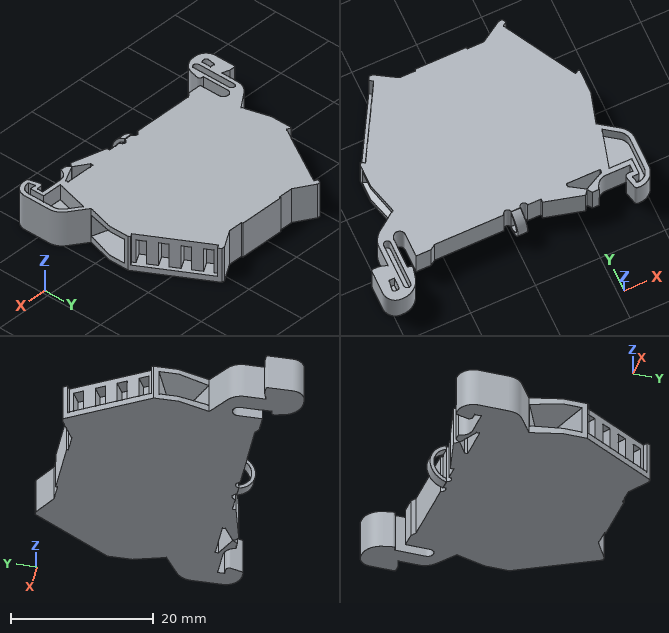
import cadquery as cq
import math


thickness = 6.0
top_z = thickness / 2
total_height = 32.5

body_half_width = 17.0
tip_half_span = 10.3
tip_flat = 0.55
label_angle = 60
label_base_y = total_height - (body_half_width - tip_half_span) * math.tan(math.radians(label_angle))
side_base_y = 17.3
waist_x = 15.7
waist_y = 12.7
top_y = 30.55
top_pad_half_width = 4.0
top_pad_height = 0.25
valley_half_width = 6.5

shoulder_x = 19.8
shoulder_y = 9.83
shoulder_radius = 2.77
foot_wall = 0.75
stem_inner_x = 17.4
foot_y = 5.05
rail_y = 5.55
hook_y = 4.05

heel_x = -22.2
heel_y = 5.8
heel_slope_x = -21.0
heel_stem_y = 5.38
heel_corner_radius = 0.25
heel_radius = 1.97
left_hook_x = -16.6
left_hook_foot_x = -17.55
left_hook_radius = 0.4
left_toe_radius = 2.85
gap_inner_x = -15.62
gap_top_y = 9.5
seat_end_x = -13.3
ramp_end_x = -12.5
gap_radius = (gap_inner_x + stem_inner_x) / 2

right_foot_y = 1.45
right_heel_radius = 2.4
right_hook_x = 16.0
right_hook_foot_x = 16.67
right_hook_radius = 0.5
right_toe_radius = 0.4

step_x = 3.9
left_lip_x = 9.83
lip_y = 3.5
pinch_x = 10.37
pinch_y = 4.2
pinch_web = 0.1
right_lip_x = 10.88
hollow_x = 13.7
hollow_radius = 1.75
opening_left_x = 8.1
opening_right_x = 13.3
opening_top_y = 6.17
opening_side_y = 5.7

loop_width = 1.5
loop_height = 6.25
loop_reach = 2.45
loop_wall = 0.6
relief_x = 1.25
relief_radius = 0.55

pocket_depth = 2.65
slot_left_x = -19.05
slot_right_x = -18.0
slot_top_y = 8.85
slot_bottom_y = 1.18
heel_pocket_top_y = 3.28
heel_pocket_bottom_y = 1.45
heel_pocket_top_x = -20.6
heel_pocket_bottom_x = -20.87
heel_pocket_radius = 0.38
hollow_tip_x = 16.1
hollow_tip_y = 11.6
hollow_corner_y = 9.55
hollow_seat_x = 14.55
hollow_seat_y = 5.8
hollow_stem_x = 18.0
hollow_hook_top_y = 3.3
hollow_hook_top_x = 16.95
hollow_hook_bottom_x = 17.2

recess_depth = 0.7
recess_height = 5.0
recess_margin = 0.67
recess_length = 12.45
marker_count = 4
marker_pitch = 3.25
marker_width = 1.45
marker_depth = 2.0
marker_height = 4.0
marker_start = 0.65

funnel_mouth_low = 12.05
funnel_mouth_high = 20.1
funnel_mouth_height = 4.2
funnel_end_low = 15.15
funnel_end_high = 17.45
funnel_end_height = 1.95
funnel_depth = 5.65


same_point = 4.2e-07


def rounded_outline(corners):
    """Closed XY outline from (x, y, radius) corners, each rounded by a tangent arc."""
    outline = None
    last_end = None
    for i, (x, y, radius) in enumerate(corners):
        here = cq.Vector(x, y)
        before = cq.Vector(*corners[i - 1][:2])
        after = cq.Vector(*corners[(i + 1) % len(corners)][:2])
        to_before = (before - here).normalized()
        to_after = (after - here).normalized()
        half_angle = to_before.getAngle(to_after) / 2
        tangent = radius / math.tan(half_angle)
        arc_start = here + to_before * tangent
        arc_end = here + to_after * tangent
        bisector = (to_before + to_after).normalized()
        arc_middle = here + bisector * (radius / math.sin(half_angle) - radius)
        if outline is None:
            outline = cq.Workplane("XY").moveTo(arc_start.x, arc_start.y)
        elif (arc_start - last_end).Length > same_point:
            outline = outline.lineTo(arc_start.x, arc_start.y)
        if radius > 0:
            outline = outline.threePointArc(arc_middle.toTuple()[:2], arc_end.toTuple()[:2])
        last_end = arc_end
    return outline.close()


def plate(corners):
    """Full-thickness solid of a rounded outline."""
    return rounded_outline(corners).extrude(thickness).translate((0, 0, -top_z))


def pocket(corners):
    """Cutter of a rounded outline sunk from the top face."""
    return rounded_outline(corners).extrude(pocket_depth).translate((0, 0, top_z - pocket_depth))


def both_sides(shape):
    """The shape together with its mirror image across X = 0."""
    return shape.union(shape.mirror("YZ"))


def make_body():
    upper_right = [
        (top_pad_half_width, top_y + top_pad_height, 0),
        (top_pad_half_width, top_y, 0),
        (valley_half_width, top_y, 0),
        (tip_half_span - tip_flat, total_height, 0),
        (tip_half_span, total_height, 0),
        (body_half_width, label_base_y, 0),
        (body_half_width, side_base_y, 0),
        (waist_x, waist_y, 0),
        (shoulder_x, shoulder_y, shoulder_radius),
    ]
    right_foot = [
        (shoulder_x, right_foot_y, right_heel_radius),
        (right_hook_foot_x, right_foot_y, right_toe_radius),
        (right_hook_x, hook_y, right_hook_radius),
        (stem_inner_x, hook_y, 0),
        (stem_inner_x, foot_y, 0),
    ]
    lips = [
        (hollow_x, foot_y, 0),
        (hollow_x, lip_y, 0),
        (right_lip_x, lip_y, 0),
        (pinch_x, pinch_y - pinch_web / 2, 0),
        (left_lip_x, lip_y, 0),
        (step_x, foot_y, 0),
        (step_x, rail_y, 0),
    ]
    left_foot = [
        (ramp_end_x, rail_y, 0),
        (seat_end_x, foot_y, 0),
        (gap_inner_x, foot_y, 0),
        (gap_inner_x, gap_top_y, gap_radius),
        (-stem_inner_x, gap_top_y, gap_radius),
        (-stem_inner_x, hook_y, 0),
        (left_hook_x, hook_y, left_hook_radius),
        (left_hook_foot_x, 0, left_toe_radius),
        (heel_x, 0, heel_radius),
        (heel_x, heel_y, heel_corner_radius),
        (heel_slope_x, heel_y, 0),
        (-shoulder_x, heel_stem_y, 0),
    ]
    upper_left = [(-x, y, radius) for x, y, radius in reversed(upper_right)]
    return plate(upper_right + right_foot + lips + left_foot + upper_left)


def make_lip_opening():
    """Five-sided opening that tapers down to the pinch between the lips."""
    return plate([
        (opening_left_x, opening_top_y, 0),
        (opening_right_x, opening_top_y, 0),
        (opening_right_x, opening_side_y, 0),
        (pinch_x, pinch_y + pinch_web / 2, 0),
        (opening_left_x, opening_side_y, 0),
    ])


def make_lip_hollow():
    """Round hollow between the right lip and the rail seat."""
    return (
        cq.Workplane("XY", origin=(hollow_x, foot_y - hollow_radius, -top_z))
        .circle(hollow_radius).extrude(thickness)
    )


def make_loop():
    """Half-ring standing on the rail face, bulging slightly past both large faces."""
    half_height = loop_height / 2
    radius = (half_height ** 2 + loop_reach ** 2) / (2 * loop_reach)
    centre_y = rail_y - loop_reach + radius
    ring = (
        cq.Workplane("YZ").center(centre_y, 0)
        .circle(radius).circle(radius - loop_wall)
        .extrude(loop_width / 2, both=True)
    )
    keep = cq.Workplane("XY").box(loop_width, loop_reach, loop_height)
    return ring.intersect(keep.translate((0, rail_y - loop_reach / 2, 0)))


def make_loop_reliefs():
    return (
        cq.Workplane("XY", origin=(0, rail_y, -top_z))
        .pushPoints([(-relief_x, 0), (relief_x, 0)])
        .circle(relief_radius).extrude(thickness)
    )


def make_foot_pockets():
    """Long slot and small pocket in the left foot, hollow of the right foot."""
    slot_radius = (slot_right_x - slot_left_x) / 2
    long_slot = pocket([
        (slot_left_x, slot_top_y, slot_radius),
        (slot_right_x, slot_top_y, slot_radius),
        (slot_right_x, slot_bottom_y, slot_radius),
        (slot_left_x, slot_bottom_y, slot_radius),
    ])
    heel_pocket = pocket([
        (heel_pocket_top_x, heel_pocket_top_y, 0),
        (-shoulder_x, heel_pocket_top_y, 0),
        (-shoulder_x, heel_pocket_bottom_y, heel_pocket_radius),
        (heel_pocket_bottom_x, heel_pocket_bottom_y, heel_pocket_radius),
    ])
    hollow_outer_x = shoulder_x - foot_wall
    hollow_bottom_y = right_foot_y + foot_wall
    right_hollow = pocket([
        (hollow_tip_x, hollow_tip_y, 0),
        (hollow_outer_x, hollow_corner_y, shoulder_radius - foot_wall),
        (hollow_outer_x, hollow_bottom_y, right_heel_radius - foot_wall),
        (hollow_hook_bottom_x, hollow_bottom_y, 0),
        (hollow_hook_top_x, hollow_hook_top_y, 0),
        (hollow_stem_x, hollow_hook_top_y, 0),
        (hollow_stem_x, hollow_seat_y, 0),
        (hollow_seat_x, hollow_seat_y, 0),
    ])
    return long_slot.union(heel_pocket).union(right_hollow)


def make_label_cutter():
    """Recess along the left label edge with a row of marker slots in its floor.

    Built with the edge along X and the depth along -Y, then turned onto the edge.
    """
    floor_z = top_z - recess_height
    recess = (
        cq.Workplane("XY")
        .box(recess_length, recess_depth, recess_height, centered=False)
        .translate((-recess_margin - recess_length, -recess_depth, floor_z))
    )
    cut_depth = recess_depth + marker_depth
    for i in range(marker_count):
        marker_x = -recess_margin - marker_start - i * marker_pitch - marker_width
        marker = (
            cq.Workplane("XY")
            .box(marker_width, cut_depth, marker_height, centered=False)
            .translate((marker_x, -cut_depth, floor_z))
        )
        recess = recess.union(marker)
    turned = recess.rotate((0, 0, 0), (0, 0, 1), label_angle)
    return turned.translate((-tip_half_span, total_height, 0))


def make_funnel():
    """Tapered wire entry in the left side face, narrowing inwards."""
    mouth_y = (funnel_mouth_low + funnel_mouth_high) / 2
    end_y = (funnel_end_low + funnel_end_high) / 2
    return (
        cq.Workplane("YZ", origin=(-body_half_width, mouth_y, 0))
        .rect(funnel_mouth_high - funnel_mouth_low, funnel_mouth_height)
        .workplane(offset=funnel_depth).center(end_y - mouth_y, 0)
        .rect(funnel_end_high - funnel_end_low, funnel_end_height)
        .loft(ruled=True)
    )


result = (
    make_body()
    .cut(make_lip_opening())
    .cut(make_lip_hollow())
    .cut(make_loop_reliefs())
    .union(make_loop())
    .cut(make_foot_pockets())
    .cut(both_sides(make_label_cutter()))
    .cut(both_sides(make_funnel()))
)